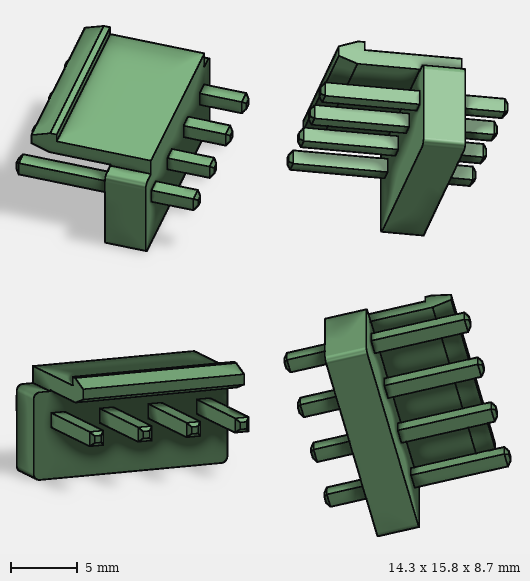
import cadquery as cq

wall_thickness = 3.2
wall_width = 15.84
wall_height = 6.73
wall_corner_radius = 0.5

lock_width = 13.16
lock_length = 9.41
lock_underside = 6.83
lock_thickness = 1.2
hook_top = 8.7
hook_flat_length = 0.5
hook_catch_from_nose = 2.0
hook_underside_slope_length = 1.43
nose_bottom = 7.35
nose_top = 8.14

pin_count = 4
pin_pitch = wall_width / pin_count
pin_size = 1.11
pin_length = 14.3
pin_outer_end = 3.6
pin_height = 4.51
tip_length = 0.29
tip_size = 0.54


def make_wall():
    wall = cq.Workplane("XY").box(
        wall_thickness, wall_width, wall_height, centered=(False, True, False)
    )
    wall = wall.edges("|X").fillet(wall_corner_radius)
    return wall.translate((-wall_thickness, 0, 0))


def make_lock():
    nose = -lock_length
    catch = nose + hook_catch_from_nose
    plate_top = lock_underside + lock_thickness
    foot_bottom = wall_height - wall_corner_radius
    profile = [
        (0, foot_bottom),
        (0, plate_top),
        (catch, plate_top),
        (catch, hook_top),
        (catch - hook_flat_length, hook_top),
        (nose, nose_top),
        (nose, nose_bottom),
        (nose + hook_underside_slope_length, lock_underside),
        (-wall_thickness, lock_underside),
        (-wall_thickness, foot_bottom),
    ]
    return cq.Workplane("XZ").polyline(profile).close().extrude(lock_width / 2, both=True)


def make_tip():
    """Tapered tip growing from X = 0 toward +X."""
    return (
        cq.Workplane("YZ")
        .rect(pin_size, pin_size)
        .workplane(offset=tip_length)
        .rect(tip_size, tip_size)
        .loft(ruled=True)
    )


def make_pin():
    """Pin along X, centred on the origin."""
    shank_half = pin_length / 2 - tip_length
    shank = cq.Workplane("XY").box(2 * shank_half, pin_size, pin_size)
    outer_tip = make_tip().translate((shank_half, 0, 0))
    inner_tip = outer_tip.mirror("YZ")
    return shank.union(outer_tip).union(inner_tip)


result = make_wall().union(make_lock())
pin = make_pin()
pin_center_x = pin_outer_end - pin_length / 2
for index in range(pin_count):
    pin_y = (index - (pin_count - 1) / 2) * pin_pitch
    result = result.union(pin.translate((pin_center_x, pin_y, pin_height)))